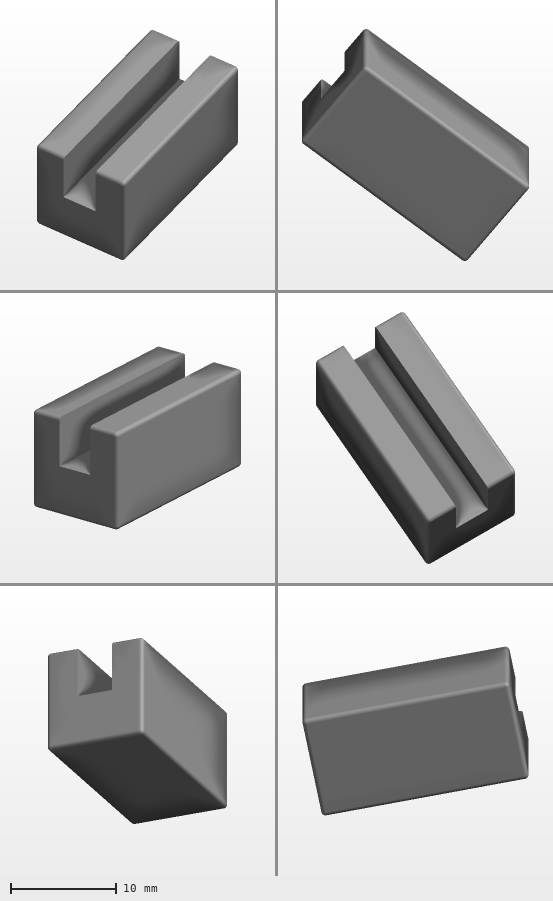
import cadquery as cq

length = 20.0
width = length / 2
height = width

edge_radius = 0.4

slot_width = 3.6
slot_depth = height / 2

block = cq.Workplane("XY").box(width, length, height).edges().fillet(edge_radius)

slot = (
    cq.Workplane("XY")
    .box(slot_width, length, slot_depth)
    .translate((0, 0, (height - slot_depth) / 2))
)

result = block.cut(slot)